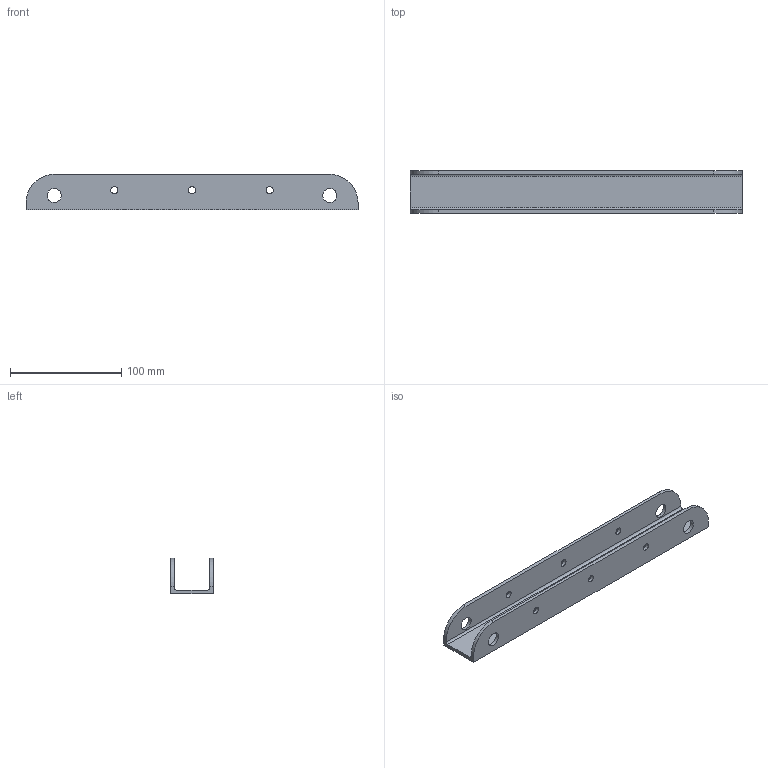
import cadquery as cq

length = 298.45
width = 38.1
height = 31.75
wall = 3.175
inner_fillet = 2.0

end_radius = 25.4

pin_hole_diameter = 12.7
pin_hole_inset = 25.4
pin_hole_height = 12.7
small_hole_diameter = 6.35
small_hole_spacing = 69.85
small_hole_height = 17.4625


def channel():
    """U-shaped channel along X, open upward, with filleted inner corners."""
    outer = cq.Workplane("XY").box(length, width, height, centered=(True, True, False))
    inside = (
        cq.Workplane("XY", origin=(0, 0, wall))
        .box(length, width - 2 * wall, height, centered=(True, True, False))
        .edges("|X and <Z")
        .fillet(inner_fillet)
    )
    return outer.cut(inside)


def side_profile():
    """Solid spanning the width, with both upper end corners rounded."""
    return (
        cq.Workplane("XY")
        .box(length, width, height, centered=(True, True, False))
        .edges("|Y and >Z")
        .fillet(end_radius)
    )


def cross_holes(positions, diameter):
    """Cylinders along Y through both flanges at the given (x, z) positions."""
    return (
        cq.Workplane("XZ")
        .pushPoints(positions)
        .circle(diameter / 2)
        .extrude(width, both=True)
    )


pin_x = length / 2 - pin_hole_inset
pin_positions = [(side * pin_x, pin_hole_height) for side in (-1, 1)]
small_positions = [(step * small_hole_spacing, small_hole_height) for step in (-1, 0, 1)]

result = (
    channel()
    .intersect(side_profile())
    .cut(cross_holes(pin_positions, pin_hole_diameter))
    .cut(cross_holes(small_positions, small_hole_diameter))
)